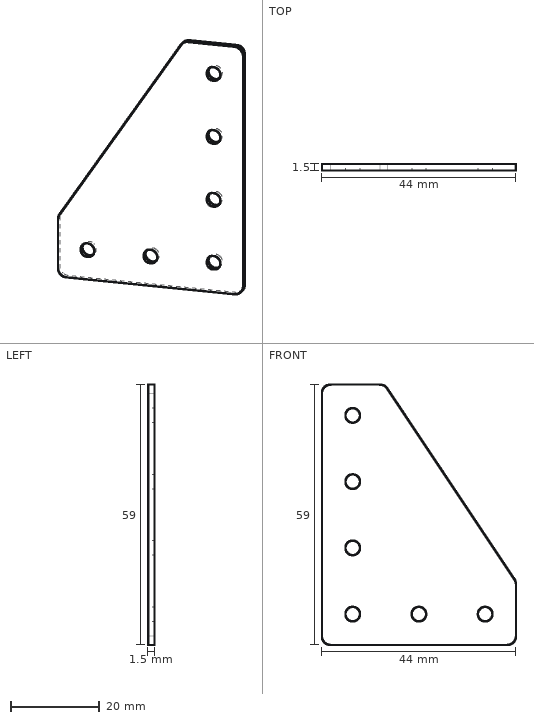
import cadquery as cq

width = 44.0
height = 59.0
thickness = 1.5
corner_radius = 2.0
top_edge_width = 14.24
right_edge_height = 14.35

hole_diameter = 3.25
hole_pitch = 15.0
edge_margin = 7.0
holes_along_x = 3
holes_along_z = 4


def hole_centres():
    """Hole centres as (x, z), with the corner hole shared by both rows."""
    row = [(edge_margin + i * hole_pitch, edge_margin) for i in range(holes_along_x)]
    column = [(edge_margin, edge_margin + i * hole_pitch) for i in range(1, holes_along_z)]
    return row + column


def make_plate():
    """Upright plate with its upper right corner cut off and all corners rounded."""
    outline = [
        (0, 0),
        (width, 0),
        (width, right_edge_height),
        (top_edge_width, height),
        (0, height),
    ]
    plate = cq.Workplane("XZ").polyline(outline).close().extrude(-thickness)
    return plate.edges("|Y").fillet(corner_radius)


def make_holes():
    """Cylinders through the plate thickness at every hole centre."""
    return cq.Workplane("XZ").pushPoints(hole_centres()).circle(hole_diameter / 2).extrude(-thickness)


result = make_plate().cut(make_holes())